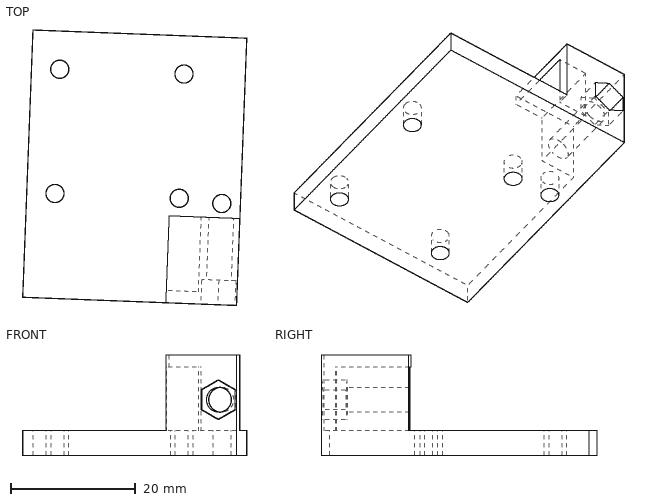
import cadquery as cq

plate_width = 34.4
plate_length = 43.0
plate_thickness = 4.08
plate_turn = -2.2

total_height = 16.2
block_width = 11.4
block_length = 14.0
block_wall = 2.0
side_recess = 5.15
block_left = plate_width - block_width

mount_diameter = 2.9
mount_pitch = 20.0
mount_left = 4.55
mount_front = 16.9
extra_hole_front = 16.3

bolt_diameter = 4.0
bolt_height = 9.0
bolt_edge_distance = 3.0
bolt_x = plate_width - bolt_edge_distance
nut_across_corners = 6.35
nut_depth = 4.0


def make_plate():
    return cq.Workplane("XY").box(plate_width, plate_length, plate_thickness, centered=False)


def make_block():
    """Block with its left side cut back below the roof and behind the front wall."""
    block = cq.Workplane("XY").box(block_width, block_length, total_height, centered=False)
    recess = (
        cq.Workplane("XY", origin=(0, block_wall, plate_thickness))
        .box(
            side_recess,
            block_length - block_wall,
            total_height - block_wall - plate_thickness,
            centered=False,
        )
    )
    return block.cut(recess).translate((block_left, 0, 0))


def make_mounting_holes():
    """A square pattern of four holes and one more in line with the bolt."""
    centers = [
        (mount_left + column * mount_pitch, mount_front + row * mount_pitch)
        for column in range(2)
        for row in range(2)
    ]
    centers.append((bolt_x, extra_hole_front))
    return (
        cq.Workplane("XY")
        .pushPoints(centers)
        .circle(mount_diameter / 2)
        .extrude(plate_thickness)
    )


def make_bolt_cut():
    """Bolt hole along the block, with the nut pocket open at the front and a corner upward."""
    front = cq.Workplane("XZ", origin=(bolt_x, 0, bolt_height))
    bolt = front.circle(bolt_diameter / 2).extrude(-block_length)
    nut = (
        front.transformed(rotate=(0, 0, 90))
        .polygon(6, nut_across_corners)
        .extrude(-nut_depth)
    )
    return bolt.union(nut)


body = make_plate().union(make_block())
body = body.cut(make_mounting_holes()).cut(make_bolt_cut())
result = body.rotate((0, 0, 0), (0, 0, 1), plate_turn)